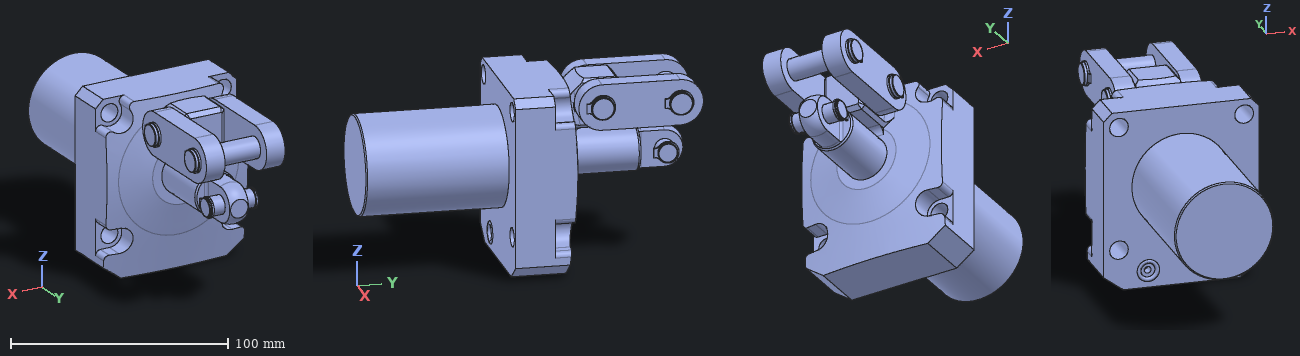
import cadquery as cq
import math


barrel_diameter = 47.8
barrel_length = 67.5
barrel_chamfer = 0.6

flange_width = 75.0
flange_half = flange_width / 2
flange_top = flange_half
flange_bottom = flange_top - 87.5
top_chamfer = 4.0
bottom_chamfer_x = 9.5
bottom_chamfer_z = 6.9

crown_height = 33.9
crown_flat_radius = 15.8
crown_inner_slope = 12.0
crown_break_radius = 32.0
crown_outer_slope = 10.4
crown_radius = 64.0

bolt_offset = 60.3 / 2
bolt_hole_diameter = 9.0
seat_height = 18.9
seat_radius = 6.5
seat_lip_radius = 2.5

port_x = -16.0
port_z = -41.8
port_ring_radius = 4.5
port_ring_thickness = 2.2
port_ring_proud = 0.5
port_bore_diameter = 3.2
port_bore_depth = 6.4

link_thickness = 9.9
link_gap = 22.0
link_height = 21.9
link_radius = link_height / 2
link_outer = link_gap / 2 + link_thickness
link_axis_z = flange_top - link_radius
link_tip = 160 - barrel_length
front_pin_y = link_tip - link_radius
rear_pin_y = front_pin_y - 37.0
link_pin_diameter = 10.7
link_pin_half_length = 23.5

clip_thickness = 1.0
clip_rim = 0.5
clip_offset = 0.3
clip_tab_reach = 1.9
clip_tab_length = 1.3
clip_tab_width = 4.5
pin_end_chamfer = 0.3

lug_width = 21.6
lug_bottom = 13.8
lug_front = 55.5
lug_bevel = 1.8
lug_front_chamfer = 2.0
lug_back_y = 37.3
lug_back_angle = 49.0
lug_root_fillet = 3.5
link_clearance = 0.5

rod_diameter = 21.9
rod_shoulder = 65.3
rod_chamfer = 1.0
rod_chamfer_depth = 0.6
tongue_radius = 10.0
tongue_thickness = 9.9
tongue_tip = 86.4
tongue_root_fillet = 1.3
rod_pin_y = 77.5
rod_pin_diameter = 9.3
rod_pin_half_length = 13.1
rod_clip_x = 11.2


def plate_along_y(outline, start, end):
    """Extrude a closed XZ outline from Y = start to Y = end."""
    return outline.extrude(-(end - start)).translate((0, start, 0))


def cylinder_y(x, z, diameter, start, end):
    return plate_along_y(cq.Workplane("XZ").center(x, z).circle(diameter / 2), start, end)


def cylinder_x(y, z, diameter, half_length):
    return cq.Workplane("YZ").center(y, z).circle(diameter / 2).extrude(half_length, both=True)


def revolve_about_y(profile):
    return profile.close().revolve(360, (0, 0, 0), (0, 1, 0))


def make_flange():
    outline = cq.Workplane("XZ").polyline([
        (flange_half, flange_top - top_chamfer),
        (flange_half - top_chamfer, flange_top),
        (top_chamfer - flange_half, flange_top),
        (-flange_half, flange_top - top_chamfer),
        (-flange_half, flange_bottom + bottom_chamfer_z),
        (bottom_chamfer_x - flange_half, flange_bottom),
        (flange_half - bottom_chamfer_x, flange_bottom),
        (flange_half, flange_bottom + bottom_chamfer_z),
    ]).close()
    return plate_along_y(outline, 0, crown_height)


def crown_height_at(radius):
    """Y of the steeper inner cone of the front face."""
    return crown_height - (radius - crown_flat_radius) * math.tan(math.radians(crown_inner_slope))


def make_inner_crown():
    """Front face as the steeper cone alone, carried out past the flange corners."""
    return revolve_about_y(cq.Workplane("XY").polyline([
        (0, 0),
        (crown_radius, 0),
        (crown_radius, crown_height_at(crown_radius)),
        (crown_flat_radius, crown_height),
        (0, crown_height),
    ]))


def make_outer_crown():
    """Ring that fills the flatter outer part of the front face."""
    break_height = crown_height_at(crown_break_radius)
    outer_drop = (crown_radius - crown_break_radius) * math.tan(math.radians(crown_outer_slope))
    return revolve_about_y(cq.Workplane("XY").polyline([
        (crown_break_radius, 0),
        (crown_radius, 0),
        (crown_radius, break_height - outer_drop),
        (crown_break_radius, break_height),
    ]))


def make_lug():
    """Bevelled block with a conical sloped back, rooted in the flange."""
    lug_height = flange_top - lug_bottom
    block = (
        cq.Workplane("XY")
        .box(lug_width, lug_front - seat_height, lug_height, centered=(True, False, False))
        .translate((0, seat_height, lug_bottom))
        .edges("|Y").chamfer(lug_bevel)
        .faces(">Y").chamfer(lug_front_chamfer)
    )
    back_run = lug_back_y - seat_height
    back_rise = back_run / math.tan(math.radians(lug_back_angle))
    front_rise = (lug_front - lug_back_y) / math.tan(math.radians(lug_back_angle))
    envelope = revolve_about_y(cq.Workplane("XY").polyline([
        (0, seat_height),
        (flange_top - back_rise, seat_height),
        (flange_top + front_rise, lug_front),
        (0, lug_front),
    ]))
    return block.intersect(envelope)


def make_lug_underside_root():
    """Concave root under the lug, between its bevelled edges."""
    root_start = lug_bottom - lug_root_fillet
    bend = lug_root_fillet * (1 - math.sin(math.pi / 4))
    return (
        cq.Workplane("YZ")
        .moveTo(crown_height, root_start)
        .threePointArc((crown_height + bend, lug_bottom - bend),
                       (crown_height + lug_root_fillet, lug_bottom))
        .lineTo(crown_height + lug_root_fillet, lug_bottom + lug_bevel)
        .lineTo(seat_height, lug_bottom + lug_bevel)
        .lineTo(seat_height, root_start)
        .close()
        .extrude(lug_width / 2 - lug_bevel, both=True)
    )


def top_seat(side):
    """Bolt seat open to the flange side and top; side is +1 or -1 along X."""
    lip_offset = math.sqrt(
        (seat_radius + seat_lip_radius) ** 2 - (flange_half - seat_lip_radius - bolt_offset) ** 2
    )
    lip_near = bolt_offset - lip_offset
    lip_far = flange_half - seat_lip_radius
    reach = seat_radius / (seat_radius + seat_lip_radius)
    tangent_far = bolt_offset + (lip_far - bolt_offset) * reach
    tangent_near = bolt_offset - lip_offset * reach
    inner = bolt_offset - seat_radius / math.sqrt(2)
    lip_angle = math.atan2(lip_offset, bolt_offset - lip_far) / 2
    lip_mid_far = lip_far + seat_lip_radius * math.sin(lip_angle)
    lip_mid_near = lip_near + seat_lip_radius * math.cos(lip_angle)
    outline = (
        cq.Workplane("XZ")
        .moveTo(side * flange_half, lip_near)
        .threePointArc((side * lip_mid_far, lip_mid_near), (side * tangent_far, tangent_near))
        .threePointArc((side * inner, inner), (side * tangent_near, tangent_far))
        .threePointArc((side * lip_mid_near, lip_mid_far), (side * lip_near, flange_half))
        .lineTo(side * flange_half, flange_half)
        .close()
    )
    return plate_along_y(outline, seat_height, crown_height)


def bottom_seat(side):
    """Bolt seat open to the flange side only, with rounded lips."""
    lip_start = flange_half - seat_lip_radius
    mouth = seat_radius + seat_lip_radius
    lip_mid_x = lip_start + seat_lip_radius * math.sin(math.pi / 4)
    lip_mid_z = mouth - seat_lip_radius * math.cos(math.pi / 4)
    outline = (
        cq.Workplane("XZ", origin=(0, 0, -bolt_offset))
        .moveTo(side * bolt_offset, seat_radius)
        .threePointArc((side * (bolt_offset - seat_radius), 0), (side * bolt_offset, -seat_radius))
        .lineTo(side * lip_start, -seat_radius)
        .threePointArc((side * lip_mid_x, -lip_mid_z), (side * flange_half, -mouth))
        .lineTo(side * flange_half, mouth)
        .threePointArc((side * lip_mid_x, lip_mid_z), (side * lip_start, seat_radius))
        .close()
    )
    return plate_along_y(outline, seat_height, crown_height)


def add_port(housing):
    """Small port in the rear face, surrounded by a seal ring that stands slightly proud."""
    ring_tube = port_ring_thickness / 2
    ring = cq.Workplane(cq.Solid.makeTorus(
        port_ring_radius, ring_tube,
        cq.Vector(port_x, ring_tube - port_ring_proud, port_z), cq.Vector(0, 1, 0),
    ))
    recess = cylinder_y(port_x, port_z, 2 * port_ring_radius, 0, ring_tube)
    bore = cylinder_y(port_x, port_z, port_bore_diameter, 0, port_bore_depth)
    return housing.cut(recess).union(ring).cut(bore)


def make_housing():
    flange = make_flange()
    housing = flange.intersect(make_inner_crown()).union(make_lug())
    side_roots = cq.selectors.BoxSelector(
        (-lug_width, seat_height, lug_bottom + lug_bevel),
        (lug_width, crown_height, link_axis_z),
    )
    housing = (
        housing.edges(side_roots).fillet(lug_root_fillet)
        .union(flange.intersect(make_outer_crown()))
        .union(make_lug_underside_root())
    )
    for side in (-1, 1):
        housing = housing.cut(top_seat(side)).cut(bottom_seat(side))
        for hole_z in (-bolt_offset, bolt_offset):
            housing = housing.cut(
                cylinder_y(side * bolt_offset, hole_z, bolt_hole_diameter, 0, crown_height)
            )
        swing_space = (
            cylinder_x(rear_pin_y, link_axis_z, 2 * (link_radius + link_clearance), link_thickness / 2)
            .translate((side * (link_gap + link_thickness) / 2, 0, 0))
        )
        housing = housing.cut(swing_space)
    barrel = cylinder_y(0, 0, barrel_diameter, -barrel_length, 0).faces("<Y").chamfer(barrel_chamfer)
    lug_bore = cylinder_x(rear_pin_y, link_axis_z, link_pin_diameter, lug_width)
    return add_port(housing.union(barrel).cut(lug_bore))


def make_pin(y, z, diameter, half_length, clip_face):
    """Pin along X with a retaining clip at each end, against the faces at X = +-clip_face."""
    pin = cylinder_x(y, z, diameter, half_length).faces("<X or >X").chamfer(pin_end_chamfer)
    ring_radius = diameter / 2 + clip_rim
    tab_end = y - diameter / 2 - clip_tab_reach
    tab_start = tab_end + clip_tab_length
    clip = (
        cylinder_x(y + clip_offset, z, 2 * ring_radius, clip_thickness / 2)
        .union(
            cq.Workplane("YZ")
            .polyline([
                (y, z + ring_radius),
                (tab_start, z + clip_tab_width / 2),
                (tab_end, z + clip_tab_width / 2),
                (tab_end, z - clip_tab_width / 2),
                (tab_start, z - clip_tab_width / 2),
                (y, z - ring_radius),
            ])
            .close()
            .extrude(clip_thickness / 2, both=True)
        )
    )
    for side in (-1, 1):
        pin = pin.union(clip.translate((side * (clip_face + clip_thickness / 2), 0, 0)))
    return pin


def make_link_assembly():
    """Two parallel links joined by their pins."""
    links = make_pin(front_pin_y, link_axis_z, link_pin_diameter, link_pin_half_length, link_outer)
    links = links.union(
        make_pin(rear_pin_y, link_axis_z, link_pin_diameter, link_pin_half_length, link_outer)
    )
    pin_distance = front_pin_y - rear_pin_y
    for side in (-1, 1):
        link = (
            cq.Workplane("YZ")
            .center((front_pin_y + rear_pin_y) / 2, link_axis_z)
            .slot2D(pin_distance + 2 * link_radius, 2 * link_radius)
            .extrude(link_thickness / 2, both=True)
            .translate((side * (link_gap + link_thickness) / 2, 0, 0))
        )
        links = links.union(link)
    return links


def make_rod():
    """Piston rod with a flat tongue that carries its own pin."""
    rod_radius = rod_diameter / 2
    shank = revolve_about_y(cq.Workplane("XY").polyline([
        (0, crown_height),
        (rod_radius, crown_height),
        (rod_radius, rod_shoulder - rod_chamfer),
        (rod_radius - rod_chamfer_depth, rod_shoulder),
        (0, rod_shoulder),
    ]))
    tip_radius = math.sqrt(tongue_radius ** 2 - (tongue_tip - rod_pin_y) ** 2)
    dome = tongue_radius / math.sqrt(2)
    turned_head = revolve_about_y(
        cq.Workplane("XY")
        .moveTo(0, rod_shoulder)
        .lineTo(rod_radius - rod_chamfer_depth, rod_shoulder)
        .lineTo(tongue_radius, rod_shoulder + tongue_root_fillet)
        .lineTo(tongue_radius, rod_pin_y)
        .threePointArc((dome, rod_pin_y + dome), (tip_radius, tongue_tip))
        .lineTo(0, tongue_tip)
    )
    root = tongue_thickness / 2 + tongue_root_fillet
    root_bend = tongue_root_fillet * (1 - math.sin(math.pi / 4))
    half = tongue_thickness / 2
    tongue_shape = (
        cq.Workplane("XY")
        .moveTo(-root, rod_shoulder)
        .threePointArc((-half - root_bend, rod_shoulder + root_bend),
                       (-half, rod_shoulder + tongue_root_fillet))
        .lineTo(-half, tongue_tip)
        .lineTo(half, tongue_tip)
        .lineTo(half, rod_shoulder + tongue_root_fillet)
        .threePointArc((half + root_bend, rod_shoulder + root_bend), (root, rod_shoulder))
        .close()
        .extrude(rod_diameter, both=True)
    )
    pin = make_pin(rod_pin_y, 0, rod_pin_diameter, rod_pin_half_length, rod_clip_x)
    return shank.union(turned_head.intersect(tongue_shape)).union(pin)


housing = make_housing()
link_assembly = make_link_assembly()
rod = make_rod()

result = cq.Compound.makeCompound([housing.val(), link_assembly.val(), rod.val()])